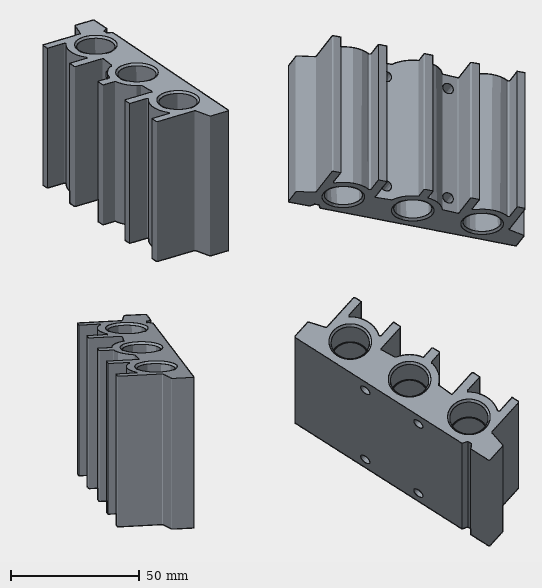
import cadquery as cq
import math

width = 95.6
depth = 29.0
height = 61.0

bore_pitch = 29.1
bore_depth = 11.5
bore_diameter = 14.15
mouth_diameter = 14.9
chamfer_diameter = 16.6
mouth_length = 11.5
boss_radius = 11.6
bore_positions = [-bore_pitch, 0.0, bore_pitch]

edge_depth = 8.9
wing_root_depth = 11.1
floor_leg_depth = 15.8
floor_boss_depth = 16.25

outer_leg_outside = 40.4
slot_width = 15.8
slot_outside = bore_pitch + slot_width / 2
slot_inside = bore_pitch - slot_width / 2
inner_leg_inside = 17.5
rib_half_width = 1.9
rib_depth = 28.7

notch_x = -36.5
notch_top_width = 4.2
notch_bottom_width = 1.8
notch_depth = 2.1

hole_diameter = 4.5
hole_x = 13.0
hole_end_distance = 5.9

outer_round = 0.53
boss_round = 0.6
wing_round = 0.6
small_round = 0.3
corner_reach = 0.3

boss_side_x = math.sqrt(boss_radius**2 - (floor_boss_depth - bore_depth) ** 2)
boss_slot_depth = bore_depth + math.sqrt(boss_radius**2 - (slot_width / 2) ** 2)
boss_rib_depth = bore_depth + math.sqrt(boss_radius**2 - rib_half_width**2)


def extrude_outline(points):
    """Full-height prism from (x, depth below the mounting face) points."""
    outline = [(x, -below) for x, below in points]
    return cq.Workplane("XY").workplane(offset=-height / 2).polyline(outline).close().extrude(height)


def bar(x_start, x_end, bar_depth):
    return extrude_outline([(x_start, 0), (x_end, 0), (x_end, bar_depth), (x_start, bar_depth)])


def boss(x, half_width):
    """Round boss on a bore axis, trimmed to the given half width and to the mounting face."""
    cylinder = cq.Workplane("XY", origin=(x, -bore_depth, -height / 2)).circle(boss_radius).extrude(height)
    return cylinder.intersect(bar(x - half_width, x + half_width, depth))


def round_corners(part, corners, radius):
    """Fillet the full-height edges at the given corners and at their mirror images in X."""
    edges = cq.Workplane("XY")
    for x, below in corners:
        for side in (-1, 1):
            low = (side * x - corner_reach, -below - corner_reach, -height)
            high = (side * x + corner_reach, -below + corner_reach, height)
            edges = edges.add(part.edges("|Z").edges(cq.selectors.BoxSelector(low, high)))
    return part.newObject(edges.vals()).fillet(radius)


def make_body():
    right_underside = [
        (boss_side_x, floor_boss_depth),
        (inner_leg_inside, floor_leg_depth),
        (bore_pitch, floor_leg_depth),
        (bore_pitch, wing_root_depth),
        (outer_leg_outside, wing_root_depth),
        (width / 2, edge_depth),
    ]
    left_underside = [(-x, below) for x, below in reversed(right_underside)]
    body = extrude_outline([(-width / 2, 0), *left_underside, *right_underside, (width / 2, 0)])
    body = body.union(boss(0, boss_radius))
    for side in (-1, 1):
        body = body.union(boss(side * bore_pitch, slot_width / 2))
        body = body.union(bar(side * slot_outside, side * outer_leg_outside, depth))
        body = body.union(bar(side * inner_leg_inside, side * slot_inside, depth))
    return body.union(bar(-rib_half_width, rib_half_width, rib_depth))


def round_body(body):
    outside_corners = [
        (width / 2, 0),
        (width / 2, edge_depth),
        (outer_leg_outside, depth),
        (inner_leg_inside, depth),
        (rib_half_width, rib_depth),
    ]
    boss_corners = [
        (slot_outside, boss_slot_depth),
        (slot_inside, boss_slot_depth),
        (boss_side_x, floor_boss_depth),
    ]
    wing_corners = [(outer_leg_outside, wing_root_depth)]
    small_corners = [(inner_leg_inside, floor_leg_depth), (rib_half_width, boss_rib_depth)]
    body = round_corners(body, outside_corners, outer_round)
    body = round_corners(body, boss_corners, boss_round)
    body = round_corners(body, wing_corners, wing_round)
    return round_corners(body, small_corners, small_round)


def bore_cutter(x):
    """Bore with a counterbored, chamfered mouth at both ends, as a turned profile."""
    end = height / 2
    chamfer = (chamfer_diameter - mouth_diameter) / 2
    upper_profile = [
        (bore_diameter / 2, end - mouth_length),
        (mouth_diameter / 2, end - mouth_length),
        (mouth_diameter / 2, end - chamfer),
        (chamfer_diameter / 2, end),
    ]
    lower_profile = [(radius, -z) for radius, z in reversed(upper_profile)]
    profile = cq.Workplane("XZ").polyline([(0, -end), *lower_profile, *upper_profile, (0, end)]).close()
    return profile.revolve(360, (0, 0, 0), (0, 1, 0)).translate((x, -bore_depth, 0))


def cut_bores(body):
    for x in bore_positions:
        body = body.cut(bore_cutter(x))
    return body


def cut_notch(body):
    top = notch_top_width / 2
    bottom = notch_bottom_width / 2
    notch = extrude_outline([
        (notch_x - top, 0),
        (notch_x + top, 0),
        (notch_x + bottom, notch_depth),
        (notch_x - bottom, notch_depth),
    ])
    return body.cut(notch)


def cut_mounting_holes(body):
    hole_z = height / 2 - hole_end_distance
    hole_centres = [(x, z) for x in (-hole_x, hole_x) for z in (-hole_z, hole_z)]
    holes = cq.Workplane("XZ").pushPoints(hole_centres).circle(hole_diameter / 2).extrude(depth)
    return body.cut(holes)


result = round_body(make_body())
result = cut_bores(result)
result = cut_notch(result)
result = cut_mounting_holes(result)